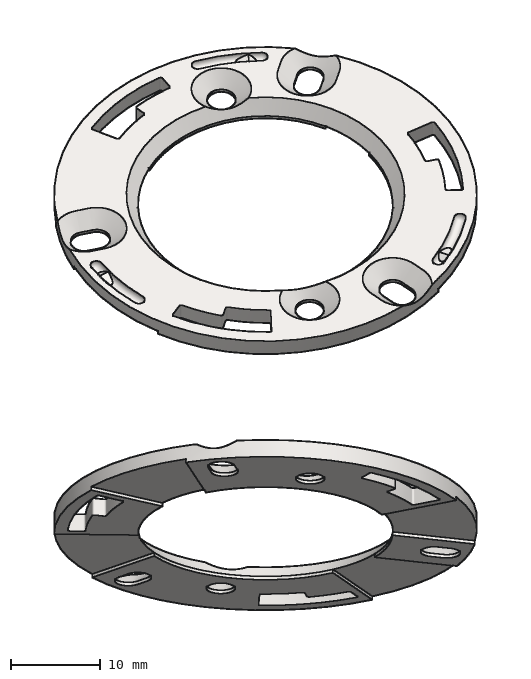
import cadquery as cq
import math

outer_radius = 23.5
total_height = 2.0
foot_height = 0.4
bore_bottom_radius = 14.15
bore_top_radius = 15.45

sink_radius = 3.35
sink_depth = total_height - foot_height
round_hole_radius = 1.6
round_hole_distance = 17.5
round_hole_angles = (0, 180)
long_hole_radius = 1.5
long_hole_inner_distance = 19.55
long_hole_outer_distance = 21.0
long_hole_angles = (30, 150, 270)

window_angles = (90, 210, 330)
window_outer_radius = 22.0
window_wide_radius = 18.5
window_narrow_radius = 20.0
window_wide_span = 15.5
window_narrow_span = 14.5
window_corner_radius = 0.25

groove_path_radius = 21.95
groove_radius = 0.65
groove_start_angles = (-75.2, 44.8, 164.8)
groove_span = 19.0
bump_peak_angle = 3.8
bump_peak_depth = 0.2
bump_ramp_length = 1.5
bump_drop_length = 0.85

window_margin = 1.0
long_hole_margin = 3.52
foot_gaps = (
    (150, 90 + window_wide_span),
    (30, 90 - window_narrow_span),
    (270, 210 + window_wide_span),
    (270, 330 - window_narrow_span),
)
gap_inner_radius = 13.65
gap_reach = 2 * outer_radius


def polar(radius, angle, sideways=0.0):
    """Point at a radius along a direction, shifted sideways to the left of it."""
    turn = math.radians(angle)
    return (
        radius * math.cos(turn) - sideways * math.sin(turn),
        radius * math.sin(turn) + sideways * math.cos(turn),
    )


def make_plate():
    """Flat ring whose bore is straight in the foot and flares toward the top."""
    return (
        cq.Workplane("XZ")
        .moveTo(bore_bottom_radius, 0)
        .lineTo(outer_radius, 0)
        .lineTo(outer_radius, total_height)
        .lineTo(bore_top_radius, total_height)
        .lineTo(bore_bottom_radius, foot_height)
        .close()
        .revolve(360, (0, 0), (0, 1))
    )


def make_foot_gap(hole_angle, window_edge_angle):
    """Recess in the foot between a long hole and the nearby end of a window."""
    side = math.copysign(1, window_edge_angle - hole_angle)
    hole_offset = side * long_hole_margin
    window_offset = -side * window_margin
    corners = [
        polar(0, hole_angle, hole_offset),
        polar(gap_reach, hole_angle, hole_offset),
        polar(gap_reach, window_edge_angle, window_offset),
        polar(0, window_edge_angle, window_offset),
    ]
    sector = cq.Workplane("XY").polyline(corners).close().extrude(foot_height)
    ring = cq.Workplane("XY").circle(gap_reach).circle(gap_inner_radius).extrude(foot_height)
    return sector.intersect(ring)


def make_round_hole(angle):
    """Through hole with a countersink as deep as the plate above the foot."""
    sink_angle = math.degrees(math.atan2(sink_radius - round_hole_radius, sink_depth))
    hole = cq.Workplane("XY").circle(round_hole_radius).extrude(total_height)
    sink = (
        cq.Workplane("XY", origin=(0, 0, total_height))
        .circle(sink_radius)
        .extrude(-sink_depth, taper=sink_angle)
    )
    return hole.union(sink).translate((*polar(round_hole_distance, angle), 0))


def make_long_hole(angle):
    """Radial slot with a countersink all around."""
    travel = long_hole_outer_distance - long_hole_inner_distance
    middle = (long_hole_outer_distance + long_hole_inner_distance) / 2
    sink_angle = math.degrees(math.atan2(sink_radius - long_hole_radius, sink_depth))
    hole = (
        cq.Workplane("XY")
        .slot2D(travel + 2 * long_hole_radius, 2 * long_hole_radius)
        .extrude(total_height)
    )
    sink = (
        cq.Workplane("XY", origin=(0, 0, total_height))
        .slot2D(travel + 2 * sink_radius, 2 * sink_radius)
        .extrude(-sink_depth, taper=sink_angle)
    )
    return hole.union(sink).translate((middle, 0, 0)).rotate((0, 0, 0), (0, 0, 1), angle)


def make_window(angle):
    """Arc-shaped through window, wide in its first half and narrow in the other."""
    wide_end = angle + window_wide_span
    narrow_end = angle - window_narrow_span
    wide_middle = (angle + wide_end) / 2
    narrow_middle = (angle + narrow_end) / 2
    return (
        cq.Workplane("XY")
        .moveTo(*polar(window_outer_radius, wide_end))
        .threePointArc(polar(window_outer_radius, angle), polar(window_outer_radius, narrow_end))
        .lineTo(*polar(window_narrow_radius, narrow_end))
        .threePointArc(polar(window_narrow_radius, narrow_middle), polar(window_narrow_radius, angle))
        .lineTo(*polar(window_wide_radius, angle))
        .threePointArc(polar(window_wide_radius, wide_middle), polar(window_wide_radius, wide_end))
        .close()
        .extrude(total_height)
        .edges("|Z")
        .fillet(window_corner_radius)
    )


def make_groove(start_angle):
    """Half-round arc groove with ball ends and a detent bump left standing in it."""
    arc_middle = groove_radius * math.sqrt(0.5)
    groove = (
        cq.Workplane("XZ")
        .moveTo(groove_path_radius - groove_radius, 0)
        .threePointArc((groove_path_radius, -groove_radius), (groove_path_radius + groove_radius, 0))
        .close()
        .revolve(groove_span, (0, 0), (0, 1))
    )
    cap = (
        cq.Workplane("XZ")
        .lineTo(groove_radius, 0)
        .threePointArc((arc_middle, -arc_middle), (0, -groove_radius))
        .close()
        .revolve(180, (0, 0), (0, 1))
    )
    for angle, facing in ((0, 180), (groove_span, 0)):
        turned_cap = cap.rotate((0, 0, 0), (0, 0, 1), angle + facing)
        groove = groove.union(turned_cap.translate((*polar(groove_path_radius, angle), 0)))
    bump = (
        cq.Workplane("YZ")
        .moveTo(-bump_drop_length, -groove_radius)
        .lineTo(0, -bump_peak_depth)
        .lineTo(bump_ramp_length, -groove_radius)
        .close()
        .extrude(2 * groove_radius, both=True)
        .translate((groove_path_radius, 0, 0))
        .rotate((0, 0, 0), (0, 0, 1), bump_peak_angle)
    )
    groove = groove.cut(bump).translate((0, 0, total_height))
    return groove.rotate((0, 0, 0), (0, 0, 1), start_angle)


result = make_plate()

for hole_angle, window_edge_angle in foot_gaps:
    result = result.cut(make_foot_gap(hole_angle, window_edge_angle))

for angle in round_hole_angles:
    result = result.cut(make_round_hole(angle))

for angle in long_hole_angles:
    result = result.cut(make_long_hole(angle))

for angle in window_angles:
    result = result.cut(make_window(angle))

for angle in groove_start_angles:
    result = result.cut(make_groove(angle))